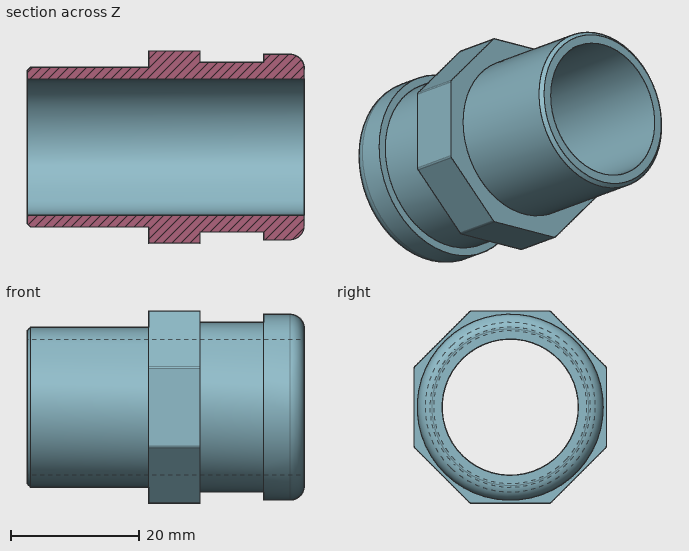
import cadquery as cq
import math

total_length = 43.25
nut_start = 18.95
nut_end = 27.0
flange_start = 36.9

spigot_diameter = 25.0
neck_diameter = 26.5
flange_diameter = 29.0
bore_diameter = 21.2

nut_sides = 8
nut_across_flats = 30.0
nut_corner_diameter = nut_across_flats / math.cos(math.pi / nut_sides)

spigot_chamfer = 0.55
flange_fillet = 2.3
nut_corner_fillet = 0.45


def section_plane(x):
    """Plane across the axis at x, facing +X."""
    return cq.Workplane("YZ", origin=(x, 0, 0))


def cylinder(start, end, diameter):
    return section_plane(start).circle(diameter / 2).extrude(end - start)


def octagonal_nut():
    """Octagon with flats facing +/-Y and +/-Z and its corners along X rounded."""
    half_side_angle = 180 / nut_sides
    return (
        section_plane(nut_start)
        .polygon(nut_sides, nut_corner_diameter)
        .extrude(nut_end - nut_start)
        .rotate((0, 0, 0), (1, 0, 0), half_side_angle)
        .edges("|X")
        .fillet(nut_corner_fillet)
    )


spigot = cylinder(0, nut_start, spigot_diameter).faces("<X").chamfer(spigot_chamfer)
neck = cylinder(nut_end, flange_start, neck_diameter)
flange = cylinder(flange_start, total_length, flange_diameter).faces(">X").edges().fillet(flange_fillet)
bore = cylinder(0, total_length, bore_diameter)

result = spigot.union(octagonal_nut()).union(neck).union(flange).cut(bore)